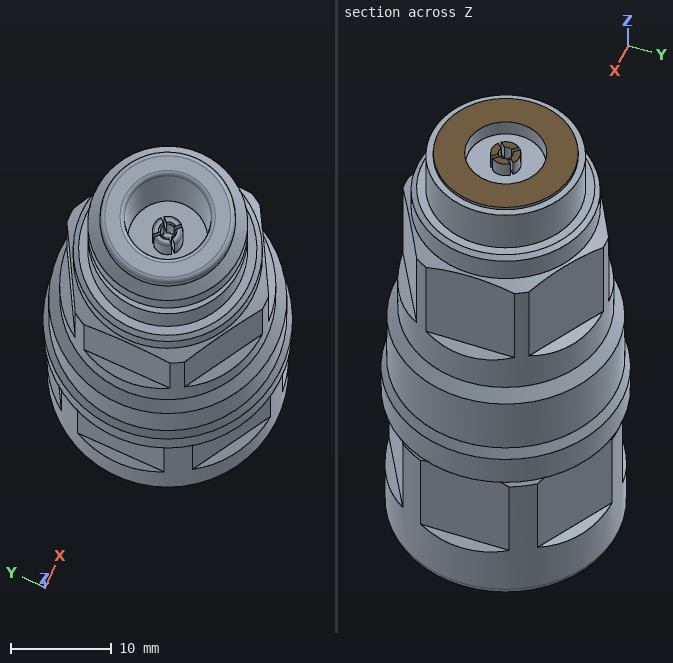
import cadquery as cq
import math

total_height = 60.6
flat_count = 6
flat_ledge_angle = 30.0
cut_overshoot = 0.6

nut_radius = 12.0
nut_flat_distance = 11.0
nut_bottom_fillet = 1.1
nut_flat_bottom = 6.95
nut_flat_top = 17.35
nut_chamfer_start = 16.55
nut_chamfer = 0.6
nut_top = 17.7

collar_diameter = 24.8
collar_radius = collar_diameter / 2
collar_rim_top = 21.15
collar_cone_top = 22.25
barrel_radius = 11.8
barrel_top = 28.85
barrel_cone_top = 30.1
hex_radius = 10.7
hex_flat_distance = 9.65
hex_flat_bottom = 34.6
hex_chamfer_angle = 30.0
hex_chamfer_start = 44.25
shoulder_radius = 9.4
shoulder_top = 48.0
shoulder_chamfer_width = 0.55
shoulder_chamfer_height = 0.35
thread_radius = 7.95
thread_lower_top = 52.9
groove_radius = 7.2
groove_top = 54.35
thread_upper_bottom = groove_top + thread_radius - groove_radius
thread_upper_top = 58.0
tip_radius = 6.7
tip_bottom = 59.1
tip_fillet = 0.5

bore_mouth_radius = 4.3
bore_floor_radius = 4.0
bore_mouth_fillet = 0.4
bore_depth = 9.1
contact_radius = 1.5
contact_edge = 0.2
contact_hole_radius = 0.7
contact_hole_chamfer = 0.2
contact_hole_cone_angle = 90.0
contact_height = 3.65
contact_slot_width = 0.3
contact_slot_angles = (45, 135)
bore_floor = total_height - bore_depth


def flat_cutter(radius, flat_distance, bottom, top):
    """One wedge that cuts a flat facing +X, with an outward sloping ledge below it."""
    outer = radius + cut_overshoot
    ledge_drop = (outer - flat_distance) * math.tan(math.radians(flat_ledge_angle))
    side_view = [
        (flat_distance, bottom),
        (outer, bottom - ledge_drop),
        (outer, top),
        (flat_distance, top),
    ]
    return cq.Workplane("XZ").polyline(side_view).close().extrude(radius, both=True)


def cut_flats(solid, radius, flat_distance, bottom, top):
    """Cut the six wrench flats, the first one facing +X."""
    cutter = flat_cutter(radius, flat_distance, bottom, top)
    for index in range(flat_count):
        angle = index * 360.0 / flat_count
        solid = solid.cut(cutter.rotate((0, 0, 0), (0, 0, 1), angle))
    return solid


def make_nut():
    neck_radius = nut_radius - nut_chamfer
    nut = (
        cq.Workplane("XZ")
        .lineTo(nut_radius, 0)
        .lineTo(nut_radius, nut_chamfer_start)
        .lineTo(neck_radius, nut_chamfer_start + nut_chamfer)
        .lineTo(neck_radius, nut_top)
        .lineTo(0, nut_top)
        .close()
        .revolve(360, (0, 0), (0, 1))
        .faces("<Z").edges().fillet(nut_bottom_fillet)
    )
    return cut_flats(nut, nut_radius, nut_flat_distance, nut_flat_bottom, nut_flat_top)


def make_body_blank():
    """The turned outside of the connector body."""
    hex_chamfer_drop = (hex_radius - shoulder_radius) * math.tan(math.radians(hex_chamfer_angle))
    hex_top = hex_chamfer_start + hex_chamfer_drop
    outline = [
        (0, nut_top),
        (collar_radius, nut_top),
        (collar_radius, collar_rim_top),
        (barrel_radius, collar_cone_top),
        (barrel_radius, barrel_top),
        (hex_radius, barrel_cone_top),
        (hex_radius, hex_chamfer_start),
        (shoulder_radius, hex_top),
        (shoulder_radius, shoulder_top - shoulder_chamfer_height),
        (shoulder_radius - shoulder_chamfer_width, shoulder_top),
        (thread_radius, shoulder_top),
        (thread_radius, thread_lower_top),
        (groove_radius, thread_lower_top),
        (groove_radius, groove_top),
        (thread_radius, thread_upper_bottom),
        (thread_radius, thread_upper_top),
        (tip_radius, tip_bottom),
        (tip_radius, total_height),
        (0, total_height),
    ]
    blank = cq.Workplane("XZ").polyline(outline).close().revolve(360, (0, 0), (0, 1))
    blank = blank.faces(">Z").edges().fillet(tip_fillet)
    return cut_flats(blank, hex_radius, hex_flat_distance, hex_flat_bottom, hex_top)


def make_bore():
    """The tapered bore, flared at its mouth by a rounded edge."""
    flare_bottom = total_height - bore_mouth_fillet
    flare_radius = bore_mouth_radius + bore_mouth_fillet
    arc_inset = bore_mouth_fillet * (1 - math.sqrt(0.5))
    return (
        cq.Workplane("XZ")
        .moveTo(0, bore_floor)
        .lineTo(bore_floor_radius, bore_floor)
        .lineTo(bore_mouth_radius, flare_bottom)
        .threePointArc(
            (bore_mouth_radius + arc_inset, total_height - arc_inset),
            (flare_radius, total_height),
        )
        .lineTo(0, total_height)
        .close()
        .revolve(360, (0, 0), (0, 1))
    )


def make_contact():
    """The contact tube, split into four fingers by two crossed slots."""
    contact = (
        cq.Workplane("XY", origin=(0, 0, bore_floor))
        .circle(contact_radius)
        .extrude(contact_height)
        .faces(">Z").edges().fillet(contact_edge)
        .faces(">Z").workplane()
        .cskHole(
            2 * contact_hole_radius,
            2 * (contact_hole_radius + contact_hole_chamfer),
            contact_hole_cone_angle,
            contact_height,
        )
    )
    slot_center = (0, 0, bore_floor + contact_height / 2)
    slot = cq.Workplane("XY", origin=slot_center).box(
        2 * contact_radius, contact_slot_width, contact_height
    )
    for angle in contact_slot_angles:
        contact = contact.cut(slot.rotate((0, 0, 0), (0, 0, 1), angle))
    return contact


def make_body():
    return make_body_blank().cut(make_bore()).union(make_contact())


nut = make_nut()
body = make_body()
result = cq.Compound.makeCompound([nut.solids().val(), body.solids().val()])